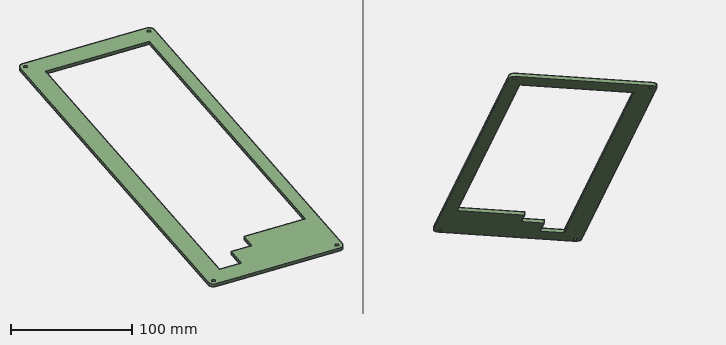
import cadquery as cq

PLATE_LENGTH = 355.0
PLATE_WIDTH = 124.0
PLATE_THICKNESS = 3.0
CORNER_RADIUS = 5.0

HOLE_DIAMETER = 3.0
HOLE_INSET = 5.0

OPENING_LEFT_MARGIN = 18.4
OPENING_BOTTOM_MARGIN = 16.8
LOWER_TIER_LENGTH = 319.2
MIDDLE_TIER_LENGTH = 300.7
UPPER_TIER_LENGTH = 286.1
LOWER_TIER_HEIGHT = 20.0
MIDDLE_TIER_HEIGHT = 19.05
UPPER_TIER_HEIGHT = 56.7

left = -PLATE_LENGTH / 2 + OPENING_LEFT_MARGIN
lower_right = left + LOWER_TIER_LENGTH
middle_right = left + MIDDLE_TIER_LENGTH
upper_right = left + UPPER_TIER_LENGTH

bottom = -PLATE_WIDTH / 2 + OPENING_BOTTOM_MARGIN
lower_step = bottom + LOWER_TIER_HEIGHT
middle_step = lower_step + MIDDLE_TIER_HEIGHT
top = middle_step + UPPER_TIER_HEIGHT


def make_plate():
    """Flat plate with rounded vertical corners."""
    plate = cq.Workplane("XY").rect(PLATE_LENGTH, PLATE_WIDTH).extrude(PLATE_THICKNESS)
    return plate.edges("|Z").fillet(CORNER_RADIUS)


def make_opening():
    """Through opening whose right side steps outward towards the bottom."""
    outline = [
        (left, bottom),
        (lower_right, bottom),
        (lower_right, lower_step),
        (middle_right, lower_step),
        (middle_right, middle_step),
        (upper_right, middle_step),
        (upper_right, top),
        (left, top),
    ]
    return cq.Workplane("XY").polyline(outline).close().extrude(PLATE_THICKNESS)


def make_screw_holes():
    """Cylinders for the four corner through holes."""
    spacing_x = PLATE_LENGTH - 2 * HOLE_INSET
    spacing_y = PLATE_WIDTH - 2 * HOLE_INSET
    centres = cq.Workplane("XY").rarray(spacing_x, spacing_y, 2, 2)
    return centres.circle(HOLE_DIAMETER / 2).extrude(PLATE_THICKNESS)


result = make_plate().cut(make_opening()).cut(make_screw_holes())